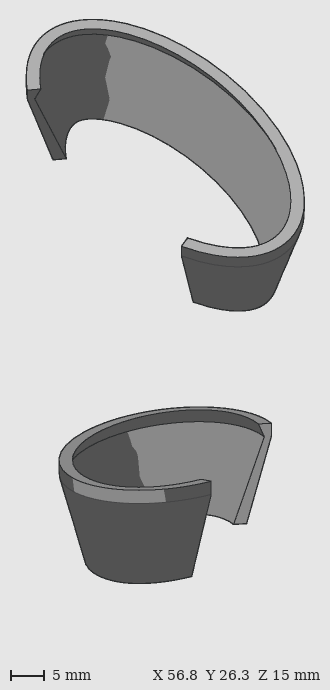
import cadquery as cq
import math

RIM_SEMI_X = 28.4
RIM_SEMI_Y = 15.36
END_ANGLE = 45.5

TOTAL_HEIGHT = 15.0
RIM_HEIGHT = 2.0
WALL_HEIGHT = TOTAL_HEIGHT - RIM_HEIGHT

RIM_WIDTH = 2.0
WALL_TOP_THICKNESS = 1.1
FOOT_INSET = 3.8
FOOT_THICKNESS = 2.0


def rim_path():
    """Open elliptical arc, from the right end over the back to the left end."""
    return cq.Workplane("XY").ellipseArc(
        RIM_SEMI_X,
        RIM_SEMI_Y,
        -END_ANGLE,
        180 + END_ANGLE,
        startAtCurrent=False,
    )


def section_plane():
    """Plane across the path at its right end; local x points inward, local y up."""
    angle = math.radians(-END_ANGLE)
    start = (RIM_SEMI_X * math.cos(angle), RIM_SEMI_Y * math.sin(angle), 0)
    tangent = (-RIM_SEMI_X * math.sin(angle), RIM_SEMI_Y * math.cos(angle), 0)
    inward = (-tangent[1], tangent[0], 0)
    return cq.Plane(origin=start, xDir=inward, normal=tangent)


def wall_section():
    """Leaning wall with an upright rim that overhangs its inner face."""
    return cq.Workplane(section_plane()).polyline(
        [
            (0, TOTAL_HEIGHT),
            (RIM_WIDTH, TOTAL_HEIGHT),
            (WALL_TOP_THICKNESS, WALL_HEIGHT),
            (FOOT_INSET + FOOT_THICKNESS, 0),
            (FOOT_INSET, 0),
            (0, WALL_HEIGHT),
        ]
    ).close()


result = wall_section().sweep(rim_path())